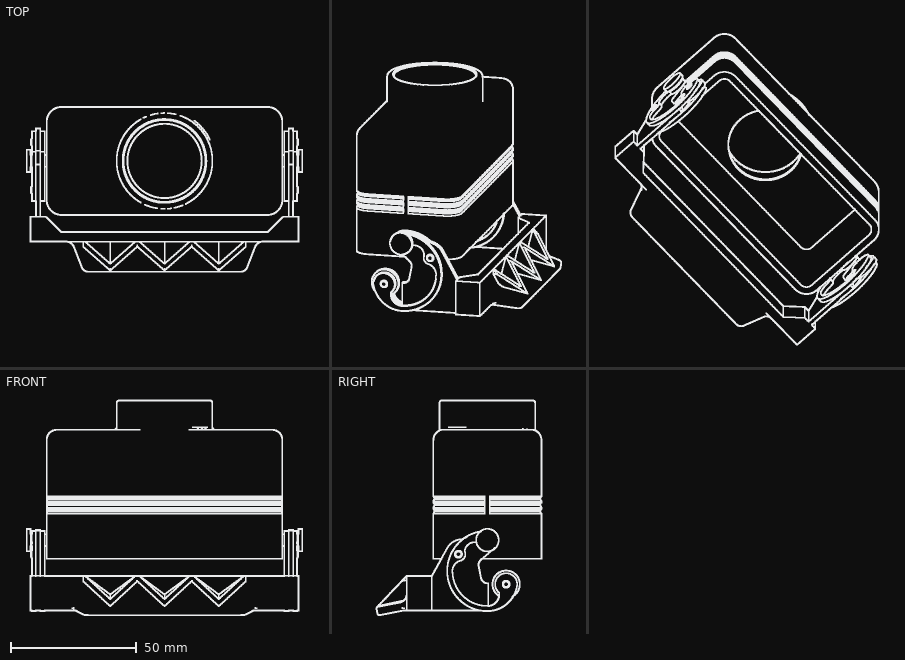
import cadquery as cq
import math

HOOD_LENGTH = 93.7
HOOD_DEPTH = 43.0
HOOD_HEIGHT = 51.4
HOOD_CORNER_RADIUS = 6.0
HOOD_TOP_RADIUS = 4.2
WALL = 3.0

COLLAR_DIAMETER = 38.1
COLLAR_TOP = 63.0
COLLAR_TOP_RADIUS = 1.0
COLLAR_FLARE = 0.9
BORE_DIAMETER = 32.5
BORE_DEPTH = 14.2
THROAT_DIAMETER = 29.5
BORE_MOUTH_CHAMFER = 0.4
THROAT_LENGTH = 1.5

GROOVE_FIRST_Z = 17.8
GROOVE_PITCH = 2.5
GROOVE_COUNT = 3
GROOVE_HEIGHT = 2.0
GROOVE_DEPTH = 0.4
GROOVE_UPPER_FLANK = 0.5
GROOVE_LOWER_FLANK = 0.9
GROOVE_GAP = 2.0

HOOK_INNER_X = 47.5
PLATE_INNER_X = 49.3
PLATE_OUTER_X = 51.1
HOOK_OUTER_X = 52.7
HEAD_INNER_X = 53.2
HEAD_OUTER_X = 54.8
RIVET_HEIGHT = 0.4
RIVET_RADIUS = 1.4
RIVET_CHAMFER = 0.3

PIVOT_Z = 7.5
PIN_RADIUS = 2.4
PIN_HEAD_RADIUS = 4.5
HOOK_CENTRE_Z = -4.8
HOOK_RADIUS = 16.0
HOOK_BAND = 2.1
EYE_Y = 7.5
EYE_Z = -10.1
EYE_RADIUS = 4.4
ROLLER_RADIUS = 5.5
SLOT_RADIUS = 4.7
BOSS_Y = -11.5
BOSS_Z = 1.9
BOSS_RADIUS = 2.7
BOSS_START_ANGLE = -68
BOSS_END_ANGLE = 25
SCOOP_Y = -7.9
SCOOP_Z = 5.5
HUB_START_ANGLE = 199
HUB_TOP_ANGLE = 360 + 90
HUB_RADIUS = 4.0
PLATE_BACK_Y = 0.4
PLATE_SHOULDER = ((-15.5, 5.0), (-13.1, 7.0), (-10.0, 7.9))
PLATE_HUB_TOP = (-1.4, 11.3)
PLATE_HUB_UNDERSIDE = (2.8, 4.4)
PLATE_THROAT = ((-2.2, -0.1), (-3.2, -1.2), (-3.5, -2.4))
PLATE_FOOT = ((-2.5, -7.5), (-1.8, -9.0), (PLATE_BACK_Y, -9.6))

BAR_LENGTH = 106.7
BAR_BACK_Y = -22.1
BAR_FRONT_Y = -32.1
BAR_TOP = -6.8
BAR_BOTTOM = -20.6
BAR_RECESS_DEPTH = 6.0
BAR_RECESS_TOP_HALF = 47.1
BAR_RECESS_FLOOR_HALF = 41.1

GRIP_TILT = 11.0
GRIP_TOP_Z = -16.8
GRIP_THICKNESS = 3.5
GRIP_LENGTH = 12.4
GRIP_BACK_HALF = 36.9
GRIP_FRONT_HALF = 32.2
GRIP_CORNER_RADIUS = 2.7
GRIP_EDGE_RADIUS = 0.9
GRIP_ROOT_RADIUS = 3.3

RIB_TILT = 12.0
RIB_PITCH = 21.6
RIB_TEETH = 3
RIB_PEAK_Z = -8.4
RIB_RISE = 7.8
RIB_HEIGHT = 2.2
RIB_FRONT_SLOPE = 46.4

OVERLAP = 1.1
TOLERANCE = 0.1


def yz_disc(y, z, radius, x0, x1):
    return cq.Workplane("YZ", origin=(x0, 0, 0)).center(y, z).circle(radius).extrude(x1 - x0)


def on_circle(centre, radius, angle):
    return (centre[0] + radius * math.cos(angle), centre[1] + radius * math.sin(angle))


def circle_crossing(c0, r0, c1, r1, side):
    """Where two circles cross; side +1 is to the left when looking from c0 to c1."""
    gap = math.dist(c0, c1)
    along = (r0**2 - r1**2 + gap**2) / (2 * gap)
    heading = math.atan2(c1[1] - c0[1], c1[0] - c0[0])
    return on_circle(c0, r0, heading + side * math.acos(along / r0))


def make_hood():
    """Rounded hood with its collar, flared root and open cavity."""
    radius = COLLAR_DIAMETER / 2
    hood = cq.Workplane("XY").rect(HOOD_LENGTH, HOOD_DEPTH).extrude(HOOD_HEIGHT)
    hood = hood.edges("|Z").fillet(HOOD_CORNER_RADIUS)
    hood = hood.faces(">Z").edges().fillet(HOOD_TOP_RADIUS)
    collar = cq.Workplane("XY").circle(radius).extrude(COLLAR_TOP)
    hood = hood.union(collar.faces(">Z").edges().fillet(COLLAR_TOP_RADIUS))
    collar_root = cq.selectors.BoxSelector(
        (-radius - OVERLAP, -radius - OVERLAP, HOOD_HEIGHT - OVERLAP),
        (radius + OVERLAP, radius + OVERLAP, HOOD_HEIGHT + OVERLAP),
        boundingbox=True,
    )
    hood = hood.edges(collar_root).fillet(COLLAR_FLARE)

    cavity = cq.Workplane("XY").rect(HOOD_LENGTH - 2 * WALL, HOOD_DEPTH - 2 * WALL)
    cavity = cavity.extrude(COLLAR_TOP - BORE_DEPTH - THROAT_LENGTH)
    cavity = cavity.edges("|Z").fillet(HOOD_CORNER_RADIUS - WALL)
    throat = cq.Workplane("XY").circle(THROAT_DIAMETER / 2).extrude(COLLAR_TOP)
    bore = cq.Workplane("XY", origin=(0, 0, COLLAR_TOP - BORE_DEPTH)).circle(BORE_DIAMETER / 2)
    hood = hood.cut(cavity).cut(throat).cut(bore.extrude(BORE_DEPTH))
    bore_mouth = hood.faces(">Z").edges("%CIRCLE").edges(cq.selectors.RadiusNthSelector(0))
    return bore_mouth.chamfer(BORE_MOUTH_CHAMFER)


def hood_section(z, inset):
    """Rounded-rectangle outline of the hood, shrunk all round by inset."""
    section = cq.Sketch().rect(HOOD_LENGTH - 2 * inset, HOOD_DEPTH - 2 * inset)
    section = section.vertices().fillet(HOOD_CORNER_RADIUS - inset)
    return cq.Workplane("XY", origin=(0, 0, z)).placeSketch(section)


def make_groove(z):
    """Trapezoidal groove around the hood, interrupted at the middle of both ends; z is its lower edge."""
    upper_slope = math.degrees(math.atan2(GROOVE_DEPTH, GROOVE_UPPER_FLANK))
    lower_slope = math.degrees(math.atan2(GROOVE_DEPTH, GROOVE_LOWER_FLANK))
    cutter = cq.Workplane("XY", origin=(0, 0, z)).rect(2 * HOOD_LENGTH, 2 * HOOD_DEPTH).extrude(GROOVE_HEIGHT)
    cutter = cutter.cut(hood_section(z, 0).extrude(GROOVE_LOWER_FLANK, taper=lower_slope))
    cutter = cutter.cut(hood_section(z + GROOVE_HEIGHT, 0).extrude(-GROOVE_UPPER_FLANK, taper=upper_slope))
    cutter = cutter.cut(hood_section(z, GROOVE_DEPTH).extrude(GROOVE_HEIGHT))
    gap = cq.Workplane("XY", origin=(0, 0, z)).box(2 * HOOD_LENGTH, GROOVE_GAP, 2 * GROOVE_HEIGHT)
    return cutter.cut(gap)


def hook_outline(x):
    """C-shaped hook: hub at the pivot, round back, tail curling up into an eye, boss near the hub."""
    centre = (0, HOOK_CENTRE_Z)
    pivot = (0, PIVOT_Z)
    eye = (EYE_Y, EYE_Z)
    boss = (BOSS_Y, BOSS_Z)
    top = HOOK_CENTRE_Z + HOOK_RADIUS
    bottom = HOOK_CENTRE_Z - HOOK_RADIUS
    hub_radius = top - PIVOT_Z
    inner_radius = HOOK_RADIUS - HOOK_BAND

    eye_rise = EYE_Z - bottom
    tail_radius = (eye_rise**2 + EYE_Y**2 - EYE_RADIUS**2) / (2 * (eye_rise - EYE_RADIUS))
    tail_centre = (0, bottom + tail_radius)
    tail_angle = math.atan2(EYE_Z - tail_centre[1], EYE_Y)
    tail_middle = on_circle(tail_centre, tail_radius, (tail_angle - math.pi / 2) / 2)

    slot_bottom = bottom + HOOK_BAND
    slot_centre = (0, slot_bottom + SLOT_RADIUS)
    lip = circle_crossing(eye, EYE_RADIUS, slot_centre, SLOT_RADIUS, 1)
    lip_angle = math.atan2(lip[1] - EYE_Z, lip[0] - EYE_Y) + 2 * math.pi
    slot_lip_angle = math.atan2(lip[1] - slot_centre[1], lip[0] - slot_centre[0])
    slot_middle = on_circle(slot_centre, SLOT_RADIUS, (slot_lip_angle - math.pi / 2) / 2)

    boss_start = on_circle(boss, BOSS_RADIUS, math.radians(BOSS_START_ANGLE))
    boss_end = on_circle(boss, BOSS_RADIUS, math.radians(BOSS_END_ANGLE))
    boss_middle = on_circle(boss, BOSS_RADIUS, math.radians((BOSS_START_ANGLE + BOSS_END_ANGLE) / 2))
    hub_start = on_circle(pivot, hub_radius, math.radians(HUB_START_ANGLE))
    hub_middle = on_circle(pivot, hub_radius, math.radians((HUB_START_ANGLE + HUB_TOP_ANGLE) / 2))

    return (
        cq.Workplane("YZ", origin=(x, 0, 0))
        .moveTo(0, top)
        .threePointArc((-HOOK_RADIUS, HOOK_CENTRE_Z), (0, bottom))
        .threePointArc(tail_middle, on_circle(eye, EYE_RADIUS, tail_angle))
        .threePointArc(on_circle(eye, EYE_RADIUS, (tail_angle + lip_angle) / 2), lip)
        .threePointArc(slot_middle, (0, slot_bottom))
        .threePointArc(on_circle(centre, inner_radius, -3 * math.pi / 4), (-inner_radius, HOOK_CENTRE_Z))
        .tangentArcPoint(boss_start, relative=False)
        .threePointArc(boss_middle, boss_end)
        .threePointArc((SCOOP_Y, SCOOP_Z), hub_start)
        .threePointArc(hub_middle, (0, top))
        .close()
    )


def make_plate():
    """Lever plate between the two hooks, from the pivot hub down to the crossbar."""
    plate = (
        cq.Workplane("YZ", origin=(PLATE_INNER_X, 0, 0))
        .moveTo(PLATE_BACK_Y, BAR_BOTTOM)
        .lineTo(BAR_BACK_Y - OVERLAP, BAR_BOTTOM)
        .lineTo(BAR_BACK_Y - OVERLAP, BAR_TOP)
        .lineTo(BAR_BACK_Y, BAR_TOP)
        .lineTo(*PLATE_SHOULDER[0])
        .threePointArc(*PLATE_SHOULDER[1:])
        .lineTo(*PLATE_HUB_TOP)
        .lineTo(0, PIVOT_Z)
        .lineTo(*PLATE_HUB_UNDERSIDE)
        .lineTo(*PLATE_THROAT[0])
        .threePointArc(*PLATE_THROAT[1:])
        .lineTo(*PLATE_FOOT[0])
        .threePointArc(*PLATE_FOOT[1:])
        .close()
        .extrude(PLATE_OUTER_X - PLATE_INNER_X)
    )
    return plate.union(yz_disc(0, PIVOT_Z, HUB_RADIUS, PLATE_INNER_X, PLATE_OUTER_X))


def make_lever():
    """Right-hand lever with its pivot pin, hooks, roller and rivet heads."""
    lever = make_plate()
    for x0, x1 in ((HOOK_INNER_X, PLATE_INNER_X), (PLATE_OUTER_X, HOOK_OUTER_X)):
        lever = lever.union(hook_outline(x0).extrude(x1 - x0))
    lever = lever.union(yz_disc(EYE_Y, EYE_Z, ROLLER_RADIUS, PLATE_INNER_X, PLATE_OUTER_X))
    lever = lever.union(yz_disc(0, PIVOT_Z, PIN_RADIUS, HOOD_LENGTH / 2 - WALL / 2, HEAD_INNER_X))
    lever = lever.union(yz_disc(0, PIVOT_Z, PIN_HEAD_RADIUS, HEAD_INNER_X, HEAD_OUTER_X))
    for y, z in ((EYE_Y, EYE_Z), (BOSS_Y, BOSS_Z)):
        rivet = yz_disc(y, z, RIVET_RADIUS, PLATE_INNER_X, HOOK_OUTER_X + RIVET_HEIGHT)
        lever = lever.union(rivet.faces(">X").edges().chamfer(RIVET_CHAMFER))
    return lever


def make_bar():
    """Crossbar with a tapered recess along its back."""
    half = BAR_LENGTH / 2
    recess_y = BAR_BACK_Y - BAR_RECESS_DEPTH
    return (
        cq.Workplane("XY", origin=(0, 0, BAR_BOTTOM))
        .polyline(
            [
                (-half, BAR_FRONT_Y),
                (half, BAR_FRONT_Y),
                (half, BAR_BACK_Y),
                (BAR_RECESS_TOP_HALF, BAR_BACK_Y),
                (BAR_RECESS_FLOOR_HALF, recess_y),
                (-BAR_RECESS_FLOOR_HALF, recess_y),
                (-BAR_RECESS_TOP_HALF, BAR_BACK_Y),
                (-half, BAR_BACK_Y),
            ]
        )
        .close()
        .extrude(BAR_TOP - BAR_BOTTOM)
    )


def tilt_from_bar(shape, angle, z):
    """Tips a shape drawn at the origin downwards to the front and hangs it on the bar's front face."""
    return shape.rotate((0, 0, 0), (1, 0, 0), angle).translate((0, BAR_FRONT_Y, z))


def make_grip():
    """Tapering grip plate with rounded front corners and edges."""
    flare = (GRIP_BACK_HALF - GRIP_FRONT_HALF) / GRIP_LENGTH * OVERLAP
    grip = (
        cq.Workplane("XY", origin=(0, 0, -GRIP_THICKNESS))
        .polyline(
            [
                (-GRIP_FRONT_HALF, -GRIP_LENGTH),
                (GRIP_FRONT_HALF, -GRIP_LENGTH),
                (GRIP_BACK_HALF + flare, OVERLAP),
                (-GRIP_BACK_HALF - flare, OVERLAP),
            ]
        )
        .close()
        .extrude(GRIP_THICKNESS)
    )
    grip = grip.edges("|Z and <Y").fillet(GRIP_CORNER_RADIUS)
    grip = grip.edges("(>Z or <Z) and (not >Y)").fillet(GRIP_EDGE_RADIUS)
    return tilt_from_bar(grip, GRIP_TILT, GRIP_TOP_Z)


def make_rib():
    """Zigzag rib hanging from the bar's top edge, trimmed to a sloping front."""
    lower = []
    for i in range(2 * RIB_TEETH + 1):
        lower.append(((i - RIB_TEETH) * RIB_PITCH / 2, -RIB_RISE * (i % 2)))
    upper = [(x, z + RIB_HEIGHT) for x, z in reversed(lower)]
    depth = BAR_TOP - BAR_BOTTOM
    run = depth / math.tan(math.radians(RIB_FRONT_SLOPE))
    rib = cq.Workplane("XZ", origin=(0, 2 * OVERLAP, 0)).polyline(lower + upper).close().extrude(2 * run)
    rib = tilt_from_bar(rib, RIB_TILT, RIB_PEAK_Z)
    wedge = (
        cq.Workplane("YZ", origin=(-BAR_LENGTH / 2, 0, 0))
        .polyline(
            [
                (BAR_FRONT_Y + OVERLAP, BAR_TOP),
                (BAR_FRONT_Y, BAR_TOP),
                (BAR_FRONT_Y - run, BAR_BOTTOM),
                (BAR_FRONT_Y + OVERLAP, BAR_BOTTOM),
            ]
        )
        .close()
        .extrude(BAR_LENGTH)
    )
    return rib.intersect(wedge)


def make_handle():
    """Crossbar with the grip blended into its front face and the rib above it."""
    handle = make_bar().union(make_grip())
    half = BAR_LENGTH / 2 - OVERLAP
    grip_root = cq.selectors.BoxSelector(
        (-half, BAR_FRONT_Y - TOLERANCE, BAR_BOTTOM + TOLERANCE),
        (half, BAR_FRONT_Y + TOLERANCE, BAR_TOP - TOLERANCE),
    )
    return handle.edges(grip_root).fillet(GRIP_ROOT_RADIUS).union(make_rib())


hood = make_hood()
for i in range(GROOVE_COUNT):
    hood = hood.cut(make_groove(GROOVE_FIRST_Z + i * GROOVE_PITCH))

lever = make_lever()
result = hood.union(make_handle()).union(lever).union(lever.mirror("YZ"))